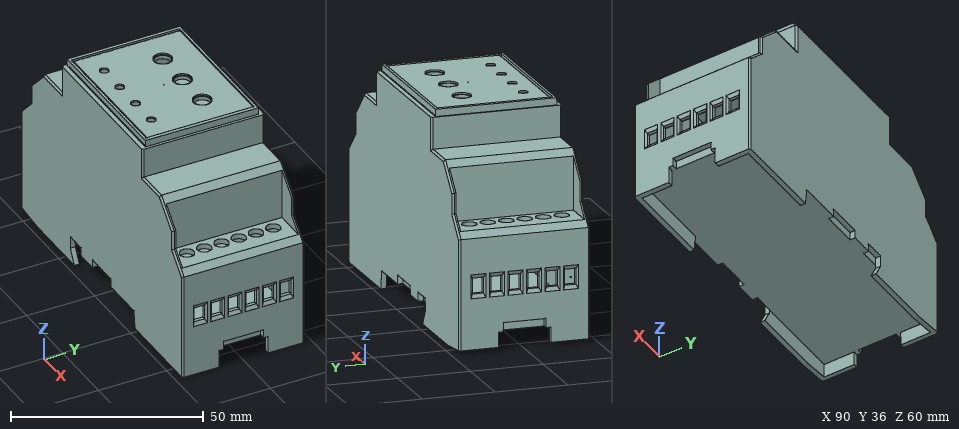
import cadquery as cq

half_length = 45.0
half_width = 18.0
clearance = 0.9
lid_top = 60.0
shoulder_z = 58.05
wall = 1.5
edge_chamfer = 0.5

tower_half_length = 22.5
tower_shift = 0.2
step_z = 49.4
step_half_length = 32.4
cheek_half_length = 39.5
front_top_z = 31.2
cheek_low_z = front_top_z + half_length - cheek_half_length
cheek_high_z = step_z - (cheek_half_length - step_half_length)
heel_z = 1.0
heel_x = -35.55

recess_half_width = 17.0
recess_wall_x = 34.2
recess_floor_z = 32.9

terminal_count = 6
terminal_span = 25.4
terminal_pitch = terminal_span / (terminal_count - 1)
terminal_ys = [i * terminal_pitch - terminal_span / 2 for i in range(terminal_count)]
screw_hole_diameter = 4.0
screw_hole_x = 37.5
window_z = 18.2
window_width = 4.1
window_height = 6.5
window_bevel = 0.5
window_bevel_rise = 1.1

slot_top_z = 5.1
slot_left_x = -17.4
slot_hook_z = 4.1
slot_hook_x = -15.1
slot_right_top_x = 17.9
slot_right_low_x = 18.5
notch_top_z = 7.65
channel_width = 14.4
end_notch_width = 11.7
floor_top_z = notch_top_z
slot_notches = ((slot_left_x, -11.6), (-5.1, 5.0))

lid_half_length = 21.9
lid_half_width = 16.65
shelf_top_z = step_z - wall
pocket_half_length = 20.8
pocket_half_width = 15.8
plate_thickness = 0.45
plate_sink = 0.4
lid_thickness = 1.1

plate_gap_x = 0.3
plate_gap_y = 0.45
plate_length = 2 * pocket_half_length - plate_gap_x
plate_width = 2 * pocket_half_width - plate_gap_y
plate_x = plate_gap_x / 2
plate_y = plate_gap_y / 2
plate_top_z = lid_top - plate_sink
pocket_floor_z = plate_top_z - plate_thickness
lid_underside_z = pocket_floor_z - lid_thickness

button_diameter = 5.1
button_lid_diameter = 4.5
button_pitch = 11.0
button_offset_y = 5.5
button_y = plate_y + button_offset_y
button_points = [(plate_x + i * button_pitch, button_y) for i in (-1, 0, 1)]
lamp_diameter = 2.5
lamp_pitch = 8.7
lamp_offset_y = -10.6
lamp_y = plate_y + lamp_offset_y
lamp_points = [(plate_x + i * lamp_pitch, lamp_y) for i in (-1.5, -0.5, 0.5, 1.5)]
pinhole_diameter = 0.2

pin_diameter = 0.2
pin_length = 0.5


def box(x0, x1, y0, y1, z0, z1):
    """Axis-aligned block between two opposite corners."""
    return cq.Workplane("XY").box(x1 - x0, y1 - y0, z1 - z0, centered=False).translate((x0, y0, z0))


def side_prism(points, half_depth):
    """Prism along Y, centred on the XZ plane."""
    return cq.Workplane("XZ").polyline(points).close().extrude(half_depth, both=True)


def vertical_holes(points, diameter, top, bottom):
    """Round cutters from bottom up to top at the given XY points."""
    return (
        cq.Workplane("XY", origin=(0, 0, bottom))
        .pushPoints(points)
        .circle(diameter / 2)
        .extrude(top - bottom)
    )


def stepped_profile(shoulder_half, tower_half):
    """Profile from its +X half, bottom to top: even shoulders, then the slightly shifted tower."""
    right_side = shoulder_half + [(tower_shift + x, z) for x, z in tower_half]
    left_side = [(-x, z) for x, z in shoulder_half] + [(tower_shift - x, z) for x, z in tower_half]
    return right_side + left_side[::-1]


def make_outer_block():
    """Solid stepped block with a chamfered outline on both flat sides."""
    shoulder_half = [
        (half_length, front_top_z),
        (cheek_half_length, cheek_low_z),
        (cheek_half_length, cheek_high_z),
        (step_half_length, step_z),
    ]
    tower_half = [(tower_half_length, step_z), (tower_half_length, shoulder_z)]
    base = [(-half_length, heel_z), (heel_x, 0), (half_length, 0)]
    block = side_prism(base + stepped_profile(shoulder_half, tower_half), half_width)
    rim = block.faces("<Y or >Y").edges(cq.selectors.BoxSelector(
        (-half_length - clearance, -half_width - clearance, heel_z),
        (half_length + clearance, half_width + clearance, shoulder_z - clearance),
    ))
    return rim.chamfer(edge_chamfer)


def make_cavity():
    """Hollow inside the walls, split by the floor and by the shelf under the lid."""
    shoulder_half = [
        (half_length - wall, -clearance),
        (half_length - wall, recess_floor_z - wall),
        (recess_wall_x - wall, recess_floor_z - wall),
        (recess_wall_x - wall, step_z - wall),
    ]
    tower_half = [
        (tower_half_length - wall, step_z - wall),
        (tower_half_length - wall, lid_underside_z),
    ]
    cavity = side_prism(stepped_profile(shoulder_half, tower_half), half_width - wall)
    for low, high in ((slot_top_z, floor_top_z), (shelf_top_z - wall, shelf_top_z)):
        cavity = cavity.cut(box(-half_length, half_length, -half_width, half_width, low, high))
    return cavity


def make_window(y):
    """Bevelled wire window through the -X end wall."""
    throat_width = window_width - 2 * window_bevel
    throat_height = window_height - 2 * window_bevel_rise
    mouth = (
        cq.Workplane("YZ", origin=(-half_length, y, window_z))
        .rect(window_width, window_height)
        .workplane(offset=window_bevel)
        .rect(throat_width, throat_height)
        .loft(ruled=True)
    )
    throat = cq.Workplane("YZ", origin=(-half_length, y, window_z)).rect(throat_width, throat_height)
    return mouth.union(throat.extrude(wall + clearance))


def cut_terminals(housing):
    """Recess, screw holes and wire windows at both ends."""
    recess = box(-half_length, -recess_wall_x, -recess_half_width, recess_half_width,
                 recess_floor_z, step_z)
    holes = vertical_holes([(-screw_hole_x, y) for y in terminal_ys], screw_hole_diameter,
                           recess_floor_z, recess_floor_z - wall - clearance)
    terminals = recess.union(holes)
    for y in terminal_ys:
        terminals = terminals.union(make_window(y))
    return housing.cut(terminals).cut(terminals.mirror("YZ"))


def cut_underside(housing):
    """Rail slot along Y, channel along X and the shallow notches above them."""
    slot = side_prism([
        (slot_left_x, slot_top_z), (slot_left_x, slot_hook_z), (slot_hook_x, 0),
        (slot_right_low_x, 0), (slot_right_top_x, slot_top_z),
    ], half_width)
    housing = housing.cut(slot)
    channel = box(-half_length, half_length, -channel_width / 2, channel_width / 2, 0, slot_top_z)
    housing = housing.cut(channel)
    for x0, x1 in slot_notches:
        for y0 in (-half_width, half_width - wall):
            housing = housing.cut(box(x0, x1, y0, y0 + wall, slot_top_z, notch_top_z))
    for x0 in (-half_length, half_length - wall):
        housing = housing.cut(box(x0, x0 + wall, -end_notch_width / 2, end_notch_width / 2,
                                  slot_top_z, notch_top_z))
    return housing


def make_housing():
    lid = box(-lid_half_length, lid_half_length, -lid_half_width, lid_half_width, shoulder_z, lid_top)
    housing = make_outer_block().union(lid)
    housing = housing.cut(make_cavity())
    housing = cut_terminals(housing)
    housing = cut_underside(housing)
    pocket = box(-pocket_half_length, pocket_half_length, -pocket_half_width, pocket_half_width,
                 pocket_floor_z, lid_top)
    buttons = vertical_holes(button_points, button_lid_diameter, pocket_floor_z, lid_underside_z)
    lamps = vertical_holes(lamp_points, lamp_diameter, pocket_floor_z, lid_underside_z)
    return housing.cut(pocket).cut(buttons).cut(lamps)


def make_plate():
    """Thin label plate with button holes, lamp holes and a central pinhole."""
    plate = (cq.Workplane("XY", origin=(plate_x, plate_y, pocket_floor_z))
             .rect(plate_length, plate_width).extrude(plate_thickness))
    for points, diameter in (
        (button_points, button_diameter),
        (lamp_points, lamp_diameter),
        ([(plate_x, plate_y)], pinhole_diameter),
    ):
        plate = plate.cut(vertical_holes(points, diameter, plate_top_z, pocket_floor_z))
    return plate


def make_pin():
    """Short thin wire pin along X in the middle of the -Y terminal window."""
    return (cq.Workplane("YZ", origin=(-half_length, terminal_ys[0], window_z))
            .circle(pin_diameter / 2).extrude(pin_length))


housing = make_housing()
plate = make_plate()
pin = make_pin()
result = cq.Compound.makeCompound([housing.val(), plate.val(), pin.val()])